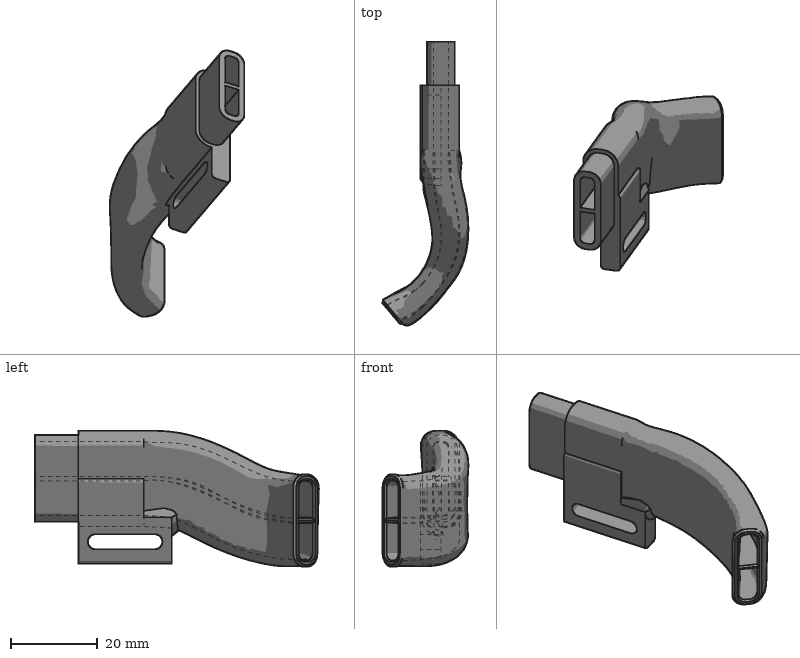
import cadquery as cq
import math

connector_width = 6.5
connector_height = 20.0
connector_length = 10.0
housing_offset = 1.0
housing_width = connector_width + 2 * housing_offset
housing_height = connector_height + 2 * housing_offset
housing_length = 15.0
straight_length = housing_length + connector_length
end_flat = 1.0

mouth_width = 7.3
mouth_height = 21.3
mouth_drop = 9.7
mouth_heading = math.radians(50)
centre_line = [
    (0, 0, 0),
    (0.65, -9.5, -1.0),
    (2.1, -18.5, -4.95),
    (0.4, -26.7, -8.4),
    (-4.7, -33.65, -9.6),
    (-11.05, -37.25, -mouth_drop),
]
section_count = 7
width_swing = 0.6

plate_proud = 0.5
plate_thickness = housing_width / 2 + plate_proud
plate_height = 19.7
plate_edge_radius = 1.0
tail_length = 6.5
tail_top = -9.0
plate_length = housing_length + tail_length

web_length = 1.7
web_bottom = -13.3
web_side_top = -7.5
web_tip_x = -3.7
web_tip_top = -6.6
web_tip_corner = -8.0
web_tip_bottom = -11.9
web_bulge = 0.68

slot_length = 17.1
slot_width = 3.4
slot_depth = 14.6

wall = 1.5
divider_thickness = 1.0
passage_start = (connector_width - 2 * wall, connector_height - 2 * wall)
passage_end = (mouth_width - 2 * wall, mouth_height - 2 * wall)
rim_outer_chamfer = 0.5
rim_inner_chamfer = 0.4

spine = cq.Edge.makeSpline(
    [cq.Vector(*point) for point in centre_line],
    tangents=[
        cq.Vector(0, -1, 0),
        cq.Vector(-math.sin(mouth_heading), -math.cos(mouth_heading), 0),
    ],
)


def spine_plane(fraction):
    """Plane square to the centre line, with its local X level and its local Y upright."""
    tangent = spine.tangentAt(fraction)
    level = tangent.cross(cq.Vector(0, 0, 1))
    return cq.Plane(origin=spine.positionAt(fraction), xDir=level, normal=tangent)


def shifted(plane, distance):
    """Copy of a plane moved along its normal."""
    return cq.Plane(origin=plane.origin + plane.zDir * distance, xDir=plane.xDir, normal=plane.zDir)


def tube_wire(plane, width, height):
    """Upright section with rounded top and bottom, each keeping a short flat."""
    half_width = width / 2
    half_height = height / 2
    half_flat = end_flat / 2
    radius = half_width - half_flat
    half_side = half_height - radius
    mid_x = half_flat + radius * math.sqrt(0.5)
    mid_y = half_side + radius * math.sqrt(0.5)
    return (
        cq.Workplane(plane)
        .moveTo(-half_flat, half_height)
        .lineTo(half_flat, half_height)
        .threePointArc((mid_x, mid_y), (half_width, half_side))
        .lineTo(half_width, -half_side)
        .threePointArc((mid_x, -mid_y), (half_flat, -half_height))
        .lineTo(-half_flat, -half_height)
        .threePointArc((-mid_x, -mid_y), (-half_width, -half_side))
        .lineTo(-half_width, half_side)
        .threePointArc((-mid_x, mid_y), (-half_flat, half_height))
        .close()
        .val()
    )


def half_wire(plane, side, width, height, gap):
    """Half of an upright section, above (side = 1) or below (side = -1) the middle gap."""
    half_width = width / 2
    half_flat = end_flat / 2
    radius = half_width - half_flat
    tip = side * height / 2
    shoulder = side * (height / 2 - radius)
    base = side * gap / 2
    mid_x = half_flat + radius * math.sqrt(0.5)
    mid_y = shoulder + side * radius * math.sqrt(0.5)
    return (
        cq.Workplane(plane)
        .moveTo(-half_width, base)
        .lineTo(half_width, base)
        .lineTo(half_width, shoulder)
        .threePointArc((mid_x, mid_y), (half_flat, tip))
        .lineTo(-half_flat, tip)
        .threePointArc((-mid_x, mid_y), (-half_width, shoulder))
        .close()
        .val()
    )


def extrude_back(wire, length):
    """Extrude a section at Y = 0 towards +Y."""
    return cq.Workplane(cq.Solid.extrudeLinear(wire, [], cq.Vector(0, length, 0)))


def loft(wires, ruled=False):
    return cq.Workplane(cq.Solid.makeLoft(wires, ruled))


def nozzle_stations(start_size, end_size):
    """Planes along the centre line, each with the width and height of the section there."""
    for index in range(section_count):
        fraction = index / (section_count - 1)
        width, height = [start + fraction * (end - start) for start, end in zip(start_size, end_size)]
        width += width_swing * math.sin(math.pi * fraction) * math.sin(2 * math.pi * fraction)
        yield spine_plane(fraction), width, height


def make_tube():
    start = spine_plane(0)
    mouth = spine_plane(1)
    housing_size = (housing_width, housing_height)
    mouth_size = (mouth_width, mouth_height)
    rim_size = [size - 2 * rim_outer_chamfer for size in mouth_size]
    housing = extrude_back(tube_wire(start, *housing_size), housing_length)
    connector = extrude_back(tube_wire(start, connector_width, connector_height), straight_length)
    nozzle = loft([tube_wire(*station) for station in nozzle_stations(housing_size, mouth_size)])
    rim_plane = shifted(mouth, rim_outer_chamfer)
    rim = loft([tube_wire(mouth, *mouth_size), tube_wire(rim_plane, *rim_size)], ruled=True)
    return housing.union(connector).union(nozzle).union(rim)


def make_plate():
    corner = (-plate_thickness, -tail_length)
    plate = (
        cq.Workplane("XY")
        .box(plate_thickness, plate_length, plate_height, centered=False)
        .translate((*corner, -plate_height))
        .edges("|Y")
        .fillet(plate_edge_radius)
    )
    above_tail = (
        cq.Workplane("XY")
        .box(plate_thickness, tail_length, -tail_top, centered=False)
        .translate((*corner, tail_top))
    )
    return plate.cut(above_tail)


def web_wire(y, top, corner, bottom):
    """Web section at one Y: a side slope from top to corner, then a rounded edge to the bottom."""
    middle = (corner[0] * web_bulge, corner[1] + (bottom - corner[1]) * web_bulge)
    return (
        cq.Workplane("XZ", origin=(0, y, 0))
        .moveTo(0, top[1])
        .lineTo(*top)
        .lineTo(*corner)
        .threePointArc(middle, (0, bottom))
        .close()
        .val()
    )


def make_web():
    side_top = (-housing_width / 2, web_side_top)
    tail_corner = (-plate_thickness, tail_top)
    start = web_wire(0, side_top, tail_corner, web_bottom)
    tail_end = web_wire(-tail_length, (web_tip_x, web_tip_top), tail_corner, web_bottom)
    tip = web_wire(
        -tail_length - web_length,
        (web_tip_x, web_tip_top),
        (web_tip_x, web_tip_corner),
        web_tip_bottom,
    )
    return loft([start, tail_end, tip], ruled=True)


def make_passage(side):
    """Passage above (side = 1) or below (side = -1) the divider, bevelled at the mouth."""
    mouth = spine_plane(1)
    rim_plane = shifted(mouth, rim_outer_chamfer)
    bevel_plane = shifted(rim_plane, -rim_inner_chamfer)
    opening_size = [size + 2 * rim_inner_chamfer for size in passage_end]
    ridge = divider_thickness - 2 * rim_inner_chamfer

    def section(plane, width, height):
        return half_wire(plane, side, width, height, divider_thickness)

    stations = nozzle_stations(passage_start, passage_end)
    straight = extrude_back(section(spine_plane(0), *passage_start), straight_length)
    curved = loft([section(*station) for station in stations])
    outlet = loft([section(mouth, *passage_end), section(rim_plane, *passage_end)], ruled=True)
    bevel = loft(
        [section(bevel_plane, *passage_end), half_wire(rim_plane, side, *opening_size, ridge)],
        ruled=True,
    )
    return straight, curved, outlet, bevel


def make_slot():
    return (
        cq.Workplane("YZ")
        .center(plate_length / 2 - tail_length, -slot_depth)
        .slot2D(slot_length, slot_width)
        .extrude(-plate_thickness)
    )


result = make_tube().union(make_plate()).union(make_web()).cut(make_slot())
for side in (1, -1):
    for space in make_passage(side):
        result = result.cut(space)